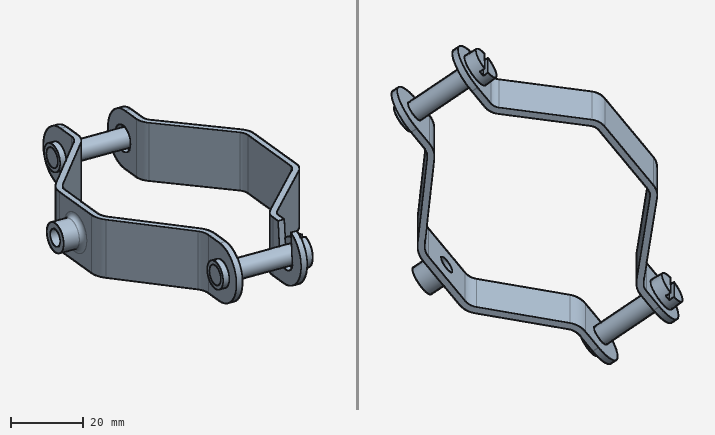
import cadquery as cq
import math

strap_width = 18.0
thickness = 2.0
lug_centre_x = 42.0
lug_gap = 19.0
screw_x = 43.0
half_height = 32.5

upper_angle = 45.0
upper_corner_x = 13.5
upper_bend_radius = 3.5

lower_angle = 42.5
lower_corner_x = 11.2
lower_bend_radius = 5.0

shaft_diameter = 6.0
head_base_diameter = 10.0
head_top_diameter = 9.6
head_height = 3.8
driver_slot_width = 1.6
driver_slot_depth = 1.6
pivot_hole_diameter = 8.0
open_slot_width = 6.6
open_slot_drop = 1.0
open_slot_tilt = 5.0

collar_diameter = 8.4
collar_height = 2.0
boss_diameter = 9.0
boss_length = 6.5
boss_bore = 5.2
boss_fillet = 1.5

lug_radius = strap_width / 2
lug_inner_y = lug_gap / 2
lug_outer_y = lug_inner_y + thickness
tip_x = lug_centre_x + lug_radius
screw_end_y = -(lug_outer_y + collar_height)
along_y = cq.Vector(0, 1, 0)


def cylinder_y(diameter, x, y_start, y_end):
    """Cylinder along Y at the given X, on the plane Z = 0."""
    length = y_end - y_start
    base = cq.Vector(x, y_start, 0)
    return cq.Workplane(cq.Solid.makeCylinder(diameter / 2, length, base, along_y))


def bend_edges(strap, corners):
    """Edges along Z at the given sharp corners and at their mirror images in X."""
    tolerance = 0.01
    edges = []
    for x, y in corners:
        for corner_x in (-x, x):
            low = (corner_x - tolerance, y - tolerance, -strap_width)
            high = (corner_x + tolerance, y + tolerance, strap_width)
            edges += strap.edges(cq.selectors.BoxSelector(low, high)).edges("|Z").vals()
    return edges


def bent_strap(corner_x, angle, bend_radius):
    """Strap on the +Y side: two rounded lugs, two sloping legs and a middle flat."""
    slope = math.tan(math.radians(angle))
    corner_shift = thickness * math.tan(math.radians(angle / 2))
    lug_corner_x = corner_x + (half_height - lug_outer_y) / slope
    inner_y = half_height - thickness
    outer_side = [
        (tip_x, lug_outer_y),
        (lug_corner_x, lug_outer_y),
        (corner_x, half_height),
    ]
    inner_side = [
        (corner_x - corner_shift, inner_y),
        (lug_corner_x - corner_shift, lug_inner_y),
        (tip_x, lug_inner_y),
    ]
    outer_line = outer_side + [(-x, y) for x, y in reversed(outer_side)]
    inner_line = [(-x, y) for x, y in reversed(inner_side)] + inner_side
    strap = (
        cq.Workplane("XY")
        .polyline(outer_line + inner_line)
        .close()
        .extrude(strap_width / 2, both=True)
    )

    inside_bends = bend_edges(strap, [outer_side[1], inner_side[0]])
    strap = cq.Workplane(strap.val().fillet(bend_radius, inside_bends))
    outside_bends = bend_edges(strap, [outer_side[2], inner_side[1]])
    strap = cq.Workplane(strap.val().fillet(bend_radius + thickness, outside_bends))

    rounded_outline = (
        cq.Workplane("XZ")
        .slot2D(2 * tip_x, strap_width)
        .extrude(-2 * half_height)
    )
    return strap.intersect(rounded_outline)


def make_upper_strap():
    """Strap with a pivot hole at the left lug and a hook slot at the right lug."""
    strap = bent_strap(upper_corner_x, upper_angle, upper_bend_radius)
    round_hole = cylinder_y(pivot_hole_diameter, -screw_x, 0, lug_outer_y)

    slot_bottom = cylinder_y(open_slot_width, 0, 0, lug_outer_y).translate((0, 0, -open_slot_drop))
    slot_walls = (
        cq.Workplane("XY")
        .box(open_slot_width, lug_outer_y, strap_width, centered=(True, False, False))
        .translate((0, 0, -open_slot_drop))
    )
    open_slot = (
        slot_bottom.union(slot_walls)
        .rotate((0, 0, 0), (0, 1, 0), -open_slot_tilt)
        .translate((screw_x, 0, 0))
    )
    return strap.cut(round_hole).cut(open_slot)


def make_lower_strap():
    """Strap with a collar around each screw end and a bored boss on its middle flat."""
    strap = bent_strap(lower_corner_x, lower_angle, lower_bend_radius).mirror("XZ")
    for x in (-screw_x, screw_x):
        strap = strap.union(cylinder_y(collar_diameter, x, screw_end_y, -lug_inner_y))
        strap = strap.cut(cylinder_y(shaft_diameter, x, screw_end_y, 0))

    boss_radius = boss_diameter / 2
    strap_face_y = -half_height
    boss_end_y = strap_face_y - boss_length
    flare_offset = boss_fillet * (1 - math.sqrt(0.5))
    boss = (
        cq.Workplane("XY")
        .moveTo(0, boss_end_y)
        .lineTo(boss_radius, boss_end_y)
        .lineTo(boss_radius, strap_face_y - boss_fillet)
        .threePointArc(
            (boss_radius + flare_offset, strap_face_y - flare_offset),
            (boss_radius + boss_fillet, strap_face_y),
        )
        .lineTo(0, strap_face_y)
        .close()
        .revolve(360, (0, 0, 0), (0, 1, 0))
    )
    bore = cylinder_y(boss_bore, 0, boss_end_y, strap_face_y + thickness)
    return strap.union(boss).cut(bore)


def make_screw(x):
    """Slotted screw along Y whose end is flush with the collar."""
    shaft = cylinder_y(shaft_diameter, x, screw_end_y, lug_outer_y)
    head_top_y = lug_outer_y + head_height
    head = cq.Workplane(
        cq.Solid.makeCone(
            head_base_diameter / 2,
            head_top_diameter / 2,
            head_height,
            cq.Vector(x, lug_outer_y, 0),
            along_y,
        )
    )
    driver_slot = (
        cq.Workplane("XY")
        .box(driver_slot_width, 2 * driver_slot_depth, head_base_diameter)
        .translate((x, head_top_y, 0))
    )
    return shaft.union(head).cut(driver_slot)


upper_strap = make_upper_strap()
lower_strap = make_lower_strap()
screws = [make_screw(x) for x in (-screw_x, screw_x)]

result = cq.Compound.makeCompound(
    [upper_strap.val(), lower_strap.val()] + [screw.val() for screw in screws]
)